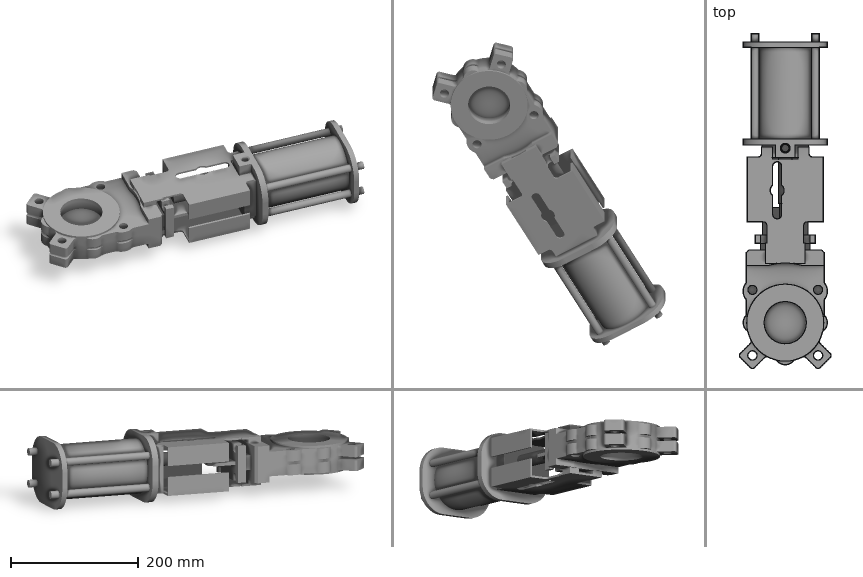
import cadquery as cq
import math


tie_rod_end_y = 452.0
rear_plate_y = (430.5, 439.0)
front_plate_y = (277.5, 287.5)
block_front_y = 258.0
yoke_rear_y = 275.0
yoke_shoulder_y = 259.0
yoke_front_y = 157.5
tongue_step_y = 124.5
tongue_front_y = 92.5
gland_flange_y = (124.0, 137.0)
packing_box_y = (89.5, 113.5)
gate_rear_y = 180.0
rod_shoulder_y = 186.5
rod_end_y = 151.5

end_plate_width = 132.0
end_plate_height = 106.0
end_plate_corner_radius = 40.5
cylinder_radius = 43.5
tie_rod_diameter = 12.0
tie_rod_spacing_x = 95.0
tie_rod_spacing_z = 51.0

block_width = 73.5
block_height = 71.0
lug_width = 30.0
port_diameter = 11.5
port_chamfer = 1.85
port_depth = 15.5

yoke_width = 119.5
yoke_height = 77.5
yoke_flange_edge_z = 9.0
sheet = 3.0
neck_width = 74.5
tongue_width = 57.5
foot_width = 62.0
foot_gap = 26.5
foot_length = 20.5
foot_height = 9.5
yoke_corner_radius = 5.0
notch_width = 40.5
notch_front_y = 255.5
window_x = -12.5
window_width = 14.0
window_y = (162.5, 251.5)
window_bulge_diameter = 21.5

rod_z = 8.0
rod_diameter = 21.5
rod_tip_diameter = 18.5
gate_thickness = 5.0
gate_width = 72.0
gate_corner_chamfer = 9.5

gland_flange_width = 94.0
gland_flange_height = 58.5
gland_width = 78.0
gland_height = 23.5
bolt_slot_x = 33.0
bolt_slot_width = 11.5
bolt_slot_depth = 13.0

body_width = 122.0
body_height = 39.5
packing_box_height = 58.5
packing_box_corner = 4.0
pipe_flange_clearance = 93.0
face_radius = 60.0
face_height = 46.0
bore_radius = 33.0
bolt_circle_diameter = 145.0
bolt_hole_diameter = 14.0
blind_hole_depth = 17.0
lug_gap = 5.0
lobe_radius = 15.5
lobe_offset = 50.5
upper_lobe_radius = 20.5
upper_lobe_offset = (45.5, 49.0)
leg_angles = (225, 315)
leg_half_width = 15.5
leg_corner_radius = 4.0
root_fillet = 5.0
root_limit_x = 61.5
root_limit_y = 68.0


def box(x_range, y_range, z_range):
    """Box between the given limits on each axis."""
    sizes = [high - low for low, high in (x_range, y_range, z_range)]
    corner = (x_range[0], y_range[0], z_range[0])
    return cq.Workplane("XY").box(*sizes, centered=False).translate(corner)


def centred_box(width, y_range, height):
    """Box centred on the stem axis."""
    return box((-width / 2, width / 2), y_range, (-height / 2, height / 2))


def rod_along_y(radius, y_range, x=0.0, z=0.0):
    """Round bar parallel to the stem."""
    start = cq.Vector(x, y_range[0], z)
    return cq.Workplane(cq.Solid.makeCylinder(radius, y_range[1] - y_range[0], start, cq.Vector(0, 1, 0)))


def disc(radius, height, x=0.0, y=0.0):
    """Disc parallel to the bore, centred on the mid plane."""
    return cq.Workplane("XY", origin=(x, y, -height / 2)).circle(radius).extrude(height)


def mirrored_in_z(shape):
    return shape.union(shape.mirror("XY"))


def make_cylinder():
    shape = rod_along_y(cylinder_radius, (front_plate_y[0], rear_plate_y[1]))
    for plate_y in (rear_plate_y, front_plate_y):
        plate = centred_box(end_plate_width, plate_y, end_plate_height)
        shape = shape.union(plate.edges("|Y").fillet(end_plate_corner_radius))
    for x in (-tie_rod_spacing_x / 2, tie_rod_spacing_x / 2):
        for z in (-tie_rod_spacing_z / 2, tie_rod_spacing_z / 2):
            tie_rod = rod_along_y(tie_rod_diameter / 2, (front_plate_y[0], tie_rod_end_y), x, z)
            shape = shape.union(tie_rod)
    return shape


def make_mounting_block():
    block = centred_box(block_width, (block_front_y, front_plate_y[0]), block_height)
    lug_y = (block_front_y, front_plate_y[1])
    return block.union(box((-lug_width / 2, lug_width / 2), lug_y, (0, end_plate_height / 2)))


def make_port():
    """Air port, chamfered at its mouth, drilled down through the lug and the front plate."""
    top = end_plate_height / 2
    port_y = (block_front_y + front_plate_y[1]) / 2
    radius = port_diameter / 2
    profile = [
        (0, top),
        (radius + port_chamfer, top),
        (radius, top - port_chamfer),
        (radius, top - port_depth),
        (0, top - port_depth),
    ]
    port = cq.Workplane("XZ").polyline(profile).close().revolve(360, (0, 0, 0), (0, 1, 0))
    return port.translate((0, port_y, 0))


def make_half_yoke():
    """Upper sheet metal half of the yoke, with its two side flanges and two feet."""
    top = yoke_height / 2
    sheet_z = (top - sheet, top)
    side = yoke_width / 2
    panel_y = (yoke_front_y, yoke_shoulder_y)
    tongue_y = (tongue_step_y, yoke_front_y)
    neck_y = (yoke_shoulder_y, yoke_rear_y)

    shape = box((-side, side), panel_y, sheet_z)
    shape = shape.union(box((-neck_width / 2, neck_width / 2), neck_y, sheet_z))
    shape = shape.union(box((-tongue_width / 2, tongue_width / 2), tongue_y, sheet_z))
    for x in (-1, 1):
        for corner in ((x * neck_width / 2, yoke_shoulder_y), (x * tongue_width / 2, yoke_front_y)):
            root = cq.selectors.NearestToPointSelector((*corner, top - sheet / 2))
            shape = shape.edges("|Z").edges(root).fillet(yoke_corner_radius)

    front_y = (tongue_front_y, tongue_step_y)
    shape = shape.union(box((-foot_width / 2, foot_width / 2), front_y, sheet_z))
    foot_y = (tongue_front_y, tongue_front_y + foot_length)
    foot_z = (top - foot_height, top)
    feet = box((-foot_width / 2, foot_width / 2), foot_y, foot_z)
    gap = box((-foot_gap / 2, foot_gap / 2), foot_y, (top - foot_height, top - sheet))
    shape = shape.union(feet.cut(gap))

    flange_z = (yoke_flange_edge_z, top)
    shape = shape.union(box((-side, -side + sheet), panel_y, flange_z))
    shape = shape.union(box((side - sheet, side), panel_y, flange_z))

    return shape.cut(make_window())


def make_lug_notch():
    """Notch in the upper yoke sheet around the air port lug."""
    sheet_z = (block_height / 2, yoke_height / 2)
    return box((-notch_width / 2, notch_width / 2), (notch_front_y, yoke_rear_y), sheet_z)


def make_window():
    """Round ended sight window with a round bulge at its middle."""
    length = window_y[1] - window_y[0]
    middle = (window_y[0] + window_y[1]) / 2
    slot = cq.Workplane("XY").center(window_x, middle).slot2D(length, window_width, 90)
    slot = slot.extrude(yoke_height / 2)
    return slot.union(disc(window_bulge_diameter / 2, yoke_height, window_x, middle))


def make_piston_rod():
    """Piston rod whose thinner tip is cut flat to lie on the gate."""
    rod = rod_along_y(rod_diameter / 2, (rod_shoulder_y, front_plate_y[0]), z=rod_z)
    tip = rod_along_y(rod_tip_diameter / 2, (rod_end_y, rod_shoulder_y), z=rod_z)
    tip = tip.cut(box(
        (-rod_diameter / 2, rod_diameter / 2),
        (rod_end_y, gate_rear_y),
        (rod_z - rod_diameter / 2, gate_thickness / 2),
    ))
    return rod.union(tip)


def make_gate():
    gate = centred_box(gate_width, (-bore_radius, gate_rear_y), gate_thickness)
    return gate.edges("|Z and >Y").chamfer(gate_corner_chamfer)


def make_gland():
    flange = centred_box(gland_flange_width, gland_flange_y, gland_flange_height)
    slot_radius = bolt_slot_width / 2
    top = gland_flange_height / 2
    slot_bottom = top - bolt_slot_depth + slot_radius
    for x in (-bolt_slot_x, bolt_slot_x):
        slot = box((x - slot_radius, x + slot_radius), gland_flange_y, (slot_bottom, top))
        slot = slot.union(rod_along_y(slot_radius, gland_flange_y, x, slot_bottom))
        flange = flange.cut(mirrored_in_z(slot))
    collar = centred_box(gland_width, (packing_box_y[1], gland_flange_y[0]), gland_height)
    return flange.union(collar)


def make_body_plan(height):
    """Flat body plate with a half round lower end."""
    plate = centred_box(body_width, (0, packing_box_y[0]), height)
    return plate.union(disc(face_radius, height))


def make_leg(angle):
    """Square bolting leg with rounded outer corners, pointing at the given angle."""
    outer = bolt_circle_diameter / 2 + leg_half_width
    leg = box((0, outer), (-leg_half_width, leg_half_width), (-body_height / 2, body_height / 2))
    leg = leg.edges("|Z and >X").fillet(leg_corner_radius)
    return leg.rotate((0, 0, 0), (0, 0, 1), angle)


def make_body():
    """Body plate with bolting lobes and legs that are split at the mid plane."""
    lugs = make_body_plan(body_height)
    for side in (-1, 1):
        upper_x, upper_y = upper_lobe_offset
        lugs = lugs.union(disc(lobe_radius, body_height, side * lobe_offset, 0))
        lugs = lugs.union(disc(upper_lobe_radius, body_height, side * upper_x, upper_y))
    lugs = lugs.union(disc(lobe_radius, body_height, 0, -lobe_offset))
    for angle in leg_angles:
        lugs = lugs.union(make_leg(angle))
    roots = cq.selectors.BoxSelector(
        (-root_limit_x, -root_limit_x, -body_height),
        (root_limit_x, root_limit_y, body_height),
    )
    lugs = lugs.edges("|Z").edges(roots).fillet(root_fillet)
    gap = centred_box(2 * body_width, (-body_width, packing_box_y[0]), lug_gap)
    body = lugs.cut(gap).union(make_body_plan(lug_gap))

    packing_box = centred_box(body_width, packing_box_y, packing_box_height)
    packing_box = packing_box.edges("|Z and >Y").chamfer(packing_box_corner)
    return body.union(packing_box)


def cut_holes(body):
    bore = disc(bore_radius, face_height).cut(disc(bore_radius, gate_thickness))
    body = body.cut(bore)
    hole_offset = bolt_circle_diameter / 2 * math.cos(math.radians(45))
    solid_core = body_height - 2 * blind_hole_depth
    for x in (-hole_offset, hole_offset):
        body = body.cut(disc(bolt_hole_diameter / 2, body_height, x, -hole_offset))
        blind = disc(bolt_hole_diameter / 2, body_height, x, hole_offset)
        body = body.cut(blind.cut(disc(bolt_hole_diameter / 2, solid_core, x, hole_offset)))
    return body


def make_clearance():
    """Round relief above and below the body plate that clears the pipe flanges."""
    relief = disc(pipe_flange_clearance, yoke_height)
    return relief.cut(disc(pipe_flange_clearance, body_height))


yoke = mirrored_in_z(make_half_yoke()).cut(make_lug_notch())
front_end = make_body().union(yoke).cut(make_clearance())
result = cut_holes(front_end.union(disc(face_radius, face_height)))
result = result.union(make_gate()).union(make_piston_rod()).union(make_gland())
result = result.union(make_mounting_block()).union(make_cylinder()).cut(make_port()).clean()